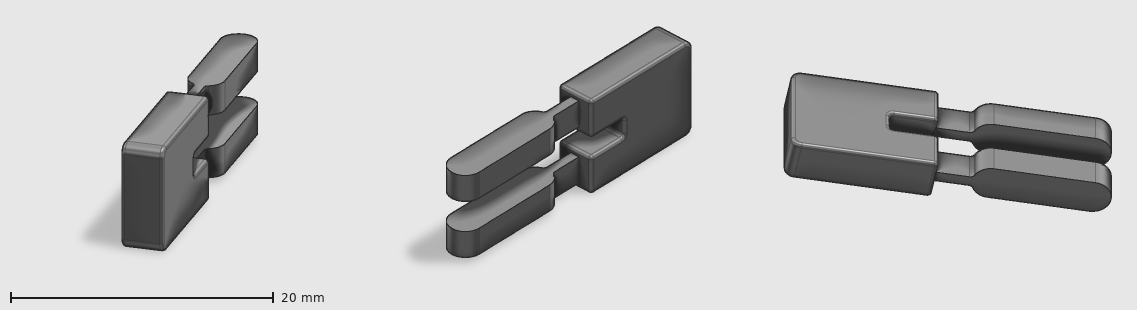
import cadquery as cq

total_length = 25.0
body_width = 3.4
body_length = 11.38
body_height = 8.6

slot_height = 1.75
slot_depth = 3.75
closed_end_radius = 0.8
edge_radius = 0.3

blade_width = 2.9
blade_thickness = 2.4
blade_offset = 0.1
blade_start = 15.7
stem_width = 0.85
neck_radius = 0.4

blade_radius = blade_width / 2
prong_height = (body_height - slot_height) / 2
prong_center = (slot_height + prong_height) / 2
slot_floor = body_length - slot_depth


def make_body():
    """Forked block with rounded edges."""
    block = cq.Workplane("XY").box(
        body_width, body_length, body_height, centered=(True, False, True)
    )
    slot = (
        cq.Workplane("XY")
        .box(body_width, slot_depth, slot_height, centered=(True, False, True))
        .translate((0, slot_floor, 0))
    )
    body = block.cut(slot)
    body = body.faces("<Y").edges("|X").fillet(closed_end_radius)
    floor_face = cq.selectors.NearestToPointSelector((0, slot_floor, 0))
    body = body.faces(floor_face).edges("|X").fillet(edge_radius)
    return body.faces("<X or >X or >Y").edges().fillet(edge_radius)


def make_contact():
    """Narrow stem that widens into a round-ended blade."""
    blade_end = total_length - blade_radius
    blade = (
        cq.Workplane("XY")
        .center(blade_offset, (blade_start + blade_end) / 2)
        .slot2D(blade_end - blade_start + blade_width, blade_width, 90)
        .extrude(blade_thickness)
    )
    stem = (
        cq.Workplane("XY")
        .center(0, (slot_floor + blade_start) / 2)
        .rect(stem_width, blade_start - slot_floor)
        .extrude(blade_thickness)
    )
    neck_zone = cq.selectors.BoxSelector(
        (-stem_width, blade_start - blade_width, 0),
        (stem_width, blade_start - blade_radius / 2, blade_thickness),
    )
    contact = blade.union(stem)
    contact = contact.edges("|Z").edges(neck_zone).fillet(neck_radius)
    return contact.translate((0, 0, -blade_thickness / 2))


result = make_body()
contact = make_contact()
for side in (-1, 1):
    result = result.union(contact.translate((0, 0, side * prong_center)))